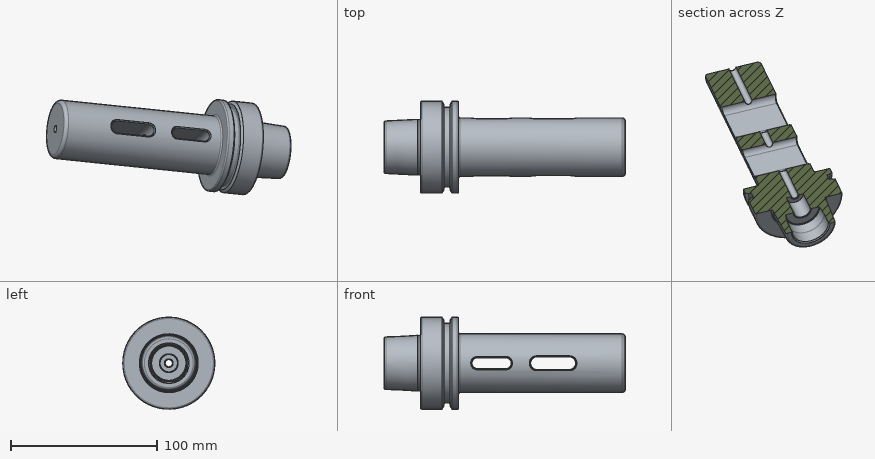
import cadquery as cq

total_length = 165.0

taper_ratio = 0.1
spigot_tip_radius = 18.0
spigot_length = 24.9
tip_fillet = 1.3
taper_length = 22.8
taper_end_radius = spigot_tip_radius + taper_length * taper_ratio / 2
relief_depth = 0.2
relief_start = taper_length + 0.5
relief_radius = taper_end_radius - relief_depth
root_fillet = 0.8
face_recess_radius = 20.1
face_recess_depth = 0.2
face_recess_floor = spigot_length + face_recess_depth

flange_radius = 31.5
flange_end = 51.0
flange_edge_fillet = 1.0
groove_left = 41.0
groove_right = 45.2
groove_floor_radius = 27.4
groove_chamfer_width = 1.3
groove_chamfer_depth = 2.1
groove_floor_fillet = 0.5

shank_radius = 20.1
shank_root_fillet = 1.0
shank_end_fillet = 2.5

bore_radius = 13.0
bore_straight_depth = 9.7
bore_end_radius = 12.2
bore_floor = 17.5
bore_chamfer = 0.8
bore_floor_chamfer = 0.5
seat_radius = 6.0
seat_floor = 33.0
through_radius = 2.5
hole_chamfer = 0.5

slots = [(60.0, 87.0, 7.5), (100.2, 131.0, 8.5)]
slot_chamfer = 0.8


def turned_body():
    """Spigot, flange and shank as one revolved outline."""
    chamfer_foot_radius = flange_radius - groove_chamfer_depth
    profile = (
        cq.Workplane("XY")
        .moveTo(0, 0)
        .lineTo(0, spigot_tip_radius)
        .lineTo(taper_length, taper_end_radius)
        .lineTo(relief_start, relief_radius)
        .lineTo(face_recess_floor - root_fillet, relief_radius)
        .radiusArc((face_recess_floor, relief_radius + root_fillet), -root_fillet)
        .lineTo(spigot_length, face_recess_radius)
        .lineTo(spigot_length, flange_radius - flange_edge_fillet)
        .radiusArc((spigot_length + flange_edge_fillet, flange_radius), flange_edge_fillet)
        .lineTo(groove_left - groove_chamfer_width, flange_radius)
        .lineTo(groove_left, chamfer_foot_radius)
        .lineTo(groove_left, groove_floor_radius + groove_floor_fillet)
        .radiusArc((groove_left + groove_floor_fillet, groove_floor_radius), -groove_floor_fillet)
        .lineTo(groove_right - groove_floor_fillet, groove_floor_radius)
        .radiusArc((groove_right, groove_floor_radius + groove_floor_fillet), -groove_floor_fillet)
        .lineTo(groove_right, chamfer_foot_radius)
        .lineTo(groove_right + groove_chamfer_width, flange_radius)
        .lineTo(flange_end - flange_edge_fillet, flange_radius)
        .radiusArc((flange_end, flange_radius - flange_edge_fillet), flange_edge_fillet)
        .lineTo(flange_end, shank_radius + shank_root_fillet)
        .radiusArc((flange_end + shank_root_fillet, shank_radius), -shank_root_fillet)
        .lineTo(total_length, shank_radius)
        .lineTo(total_length, 0)
        .close()
    )
    body = profile.revolve(360, (0, 0, 0), (1, 0, 0))
    body = body.faces("<X").edges().fillet(tip_fillet)
    return body.faces(">X").edges().fillet(shank_end_fillet)


def axial_hole():
    """Spigot bore, seat bore and through hole as one revolved cutter."""
    return (
        cq.Workplane("XY")
        .moveTo(0, 0)
        .lineTo(0, bore_radius + bore_chamfer)
        .lineTo(bore_chamfer, bore_radius)
        .lineTo(bore_straight_depth, bore_radius)
        .lineTo(bore_floor - bore_floor_chamfer, bore_end_radius)
        .lineTo(bore_floor, bore_end_radius - bore_floor_chamfer)
        .lineTo(bore_floor, seat_radius + hole_chamfer)
        .lineTo(bore_floor + hole_chamfer, seat_radius)
        .lineTo(seat_floor, seat_radius)
        .lineTo(seat_floor, through_radius + hole_chamfer)
        .lineTo(seat_floor + hole_chamfer, through_radius)
        .lineTo(total_length, through_radius)
        .lineTo(total_length, 0)
        .close()
        .revolve(360, (0, 0, 0), (1, 0, 0))
    )


def cut_slot(body, start, end, height):
    """Cut a round-ended slot through the shank and chamfer its outer rims."""
    slot = (
        cq.Workplane("XZ")
        .center((start + end) / 2, 0)
        .slot2D(end - start, height)
        .extrude(shank_radius, both=True)
    )
    body = body.cut(slot)
    rim_reach = shank_radius - height / 2
    for side in (-1, 1):
        rim_box = cq.selectors.BoxSelector(
            (start - height, side * rim_reach, -height),
            (end + height, side * (shank_radius + height), height),
        )
        body = body.edges(rim_box).chamfer(slot_chamfer)
    return body


result = turned_body()
for slot_start, slot_end, slot_height in slots:
    result = cut_slot(result, slot_start, slot_end, slot_height)
result = result.cut(axial_hole())